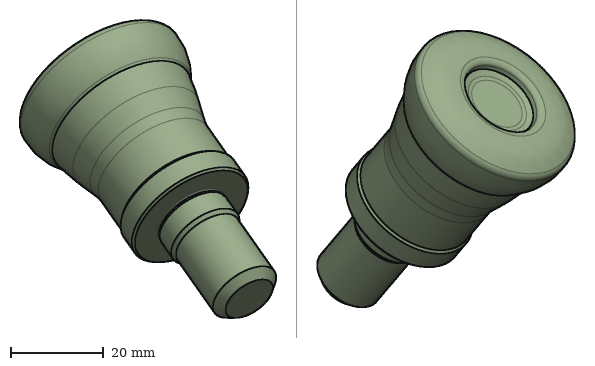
import cadquery as cq
import math

AXIS_START = (0, 0)
AXIS_END = (1, 0)

cap_radius = 19.95
crown_peak_x = 4.6
crown_arc_radius = 13.3
crown_start_x = 3.7
crown_end_x = 12.1
cap_back_x = 12.75
face_inner_radius = 10.6
dome_middle = (0.84, 16.7)
dome_rim = (2.2, 19.05)
dome_rim_direction = (1, 1.7)
bore_mouth_radius = 9.0
spigot_radius = 8.7
bore_lip_depth = 1.0

dish_rim_x = 1.9
dish_cone_end_radius = 7.25
dish_floor_radius = 6.3
dish_slope = math.radians(20)

sleeve_radius = 28 / 2
flare_angle = math.radians(16.1)
flare_arc_radius = 52.0
flare_cone_start_x = 19.1
flare_cone_end_x = 24.05
neck_arc_radius = 10.3

collar_radius = 29 / 2
collar_start_x = 36.9
collar_end_x = 42.9
collar_front_chamfer_length = 0.6
collar_back_chamfer = 0.5

relief_radius = 16.6 / 2
relief_fillet = 0.15
relief_end_x = 43.4
shoulder_radius = 17 / 2
shoulder_start_x = 44.0
shoulder_end_x = 49.0
stem_radius = 15.75 / 2
stem_start_x = 50.0
stem_chamfer = 2.0
total_length = 67.98


def crown_radius_at(x):
    """Radius of the crown arc at the axial position x."""
    drop = crown_arc_radius - math.sqrt(crown_arc_radius**2 - (x - crown_peak_x) ** 2)
    return cap_radius - drop


def arc_point(center, radius, angle):
    """Point on a circle; the angle is measured from the outward radial direction towards +X."""
    return (center[0] + radius * math.sin(angle), center[1] + radius * math.cos(angle))


neck_end_x = flare_cone_end_x + neck_arc_radius * math.sin(flare_angle)
neck_center = (neck_end_x, sleeve_radius + neck_arc_radius)
flare_cone_end = arc_point(neck_center, -neck_arc_radius, flare_angle)
flare_cone_rise = (flare_cone_end_x - flare_cone_start_x) * math.tan(flare_angle)
flare_cone_start = (flare_cone_start_x, flare_cone_end[1] + flare_cone_rise)
flare_center = (
    flare_cone_start[0] - flare_arc_radius * math.sin(flare_angle),
    flare_cone_start[1] - flare_arc_radius * math.cos(flare_angle),
)
flare_start_angle = math.asin((cap_back_x - flare_center[0]) / flare_arc_radius)
flare_start = arc_point(flare_center, flare_arc_radius, flare_start_angle)


def make_cap():
    """Knob head with a domed face, a rounded rim and a tapered through bore with a rounded lip."""
    crown_start = (crown_start_x, crown_radius_at(crown_start_x))
    crown_end = (crown_end_x, crown_radius_at(crown_end_x))
    lip_width = face_inner_radius - bore_mouth_radius
    diagonal = math.sqrt(0.5)
    lip_middle = (
        bore_lip_depth * (1 - diagonal),
        face_inner_radius - lip_width * diagonal,
    )
    profile = (
        cq.Workplane("XY")
        .moveTo(cap_back_x, spigot_radius)
        .lineTo(dish_rim_x, spigot_radius)
        .lineTo(bore_lip_depth, bore_mouth_radius)
        .spline(
            [lip_middle, (0, face_inner_radius)],
            tangents=[(-1, 0), (0, 1)],
            includeCurrent=True,
        )
        .spline([dome_middle, dome_rim], tangents=[(0, 1), dome_rim_direction], includeCurrent=True)
        .tangentArcPoint(crown_start, relative=False)
        .threePointArc((crown_peak_x, cap_radius), crown_end)
        .tangentArcPoint(flare_start, relative=False)
        .close()
    )
    return profile.revolve(360, AXIS_START, AXIS_END)


def make_plunger_body():
    """Dished spigot, flared sleeve, collar and stem in one turned piece."""
    dish_cone_depth = (spigot_radius - dish_cone_end_radius) * math.tan(dish_slope)
    dish_cone_end_x = dish_rim_x + dish_cone_depth
    dish_fillet_radius = (dish_cone_end_radius - dish_floor_radius) / math.sin(dish_slope)
    dish_floor_x = dish_cone_end_x + dish_fillet_radius * (1 - math.cos(dish_slope))
    flare_middle = arc_point(flare_center, flare_arc_radius, (flare_start_angle + flare_angle) / 2)
    neck_middle = arc_point(neck_center, -neck_arc_radius, flare_angle / 2)
    profile = (
        cq.Workplane("XY")
        .moveTo(dish_floor_x, 0)
        .lineTo(dish_floor_x, dish_floor_radius)
        .tangentArcPoint((dish_cone_end_x, dish_cone_end_radius), relative=False)
        .lineTo(dish_rim_x, spigot_radius)
        .lineTo(cap_back_x, spigot_radius)
        .lineTo(*flare_start)
        .threePointArc(flare_middle, flare_cone_start)
        .lineTo(*flare_cone_end)
        .threePointArc(neck_middle, (neck_end_x, sleeve_radius))
        .lineTo(collar_start_x, sleeve_radius)
        .lineTo(collar_start_x + collar_front_chamfer_length, collar_radius)
        .lineTo(collar_end_x - collar_back_chamfer, collar_radius)
        .lineTo(collar_end_x, collar_radius - collar_back_chamfer)
        .lineTo(collar_end_x, relief_radius + relief_fillet)
        .tangentArcPoint((collar_end_x + relief_fillet, relief_radius), relative=False)
        .lineTo(relief_end_x, relief_radius)
        .lineTo(shoulder_start_x, shoulder_radius)
        .lineTo(shoulder_end_x, shoulder_radius)
        .lineTo(stem_start_x, stem_radius)
        .lineTo(total_length - stem_chamfer, stem_radius)
        .lineTo(total_length, stem_radius - stem_chamfer)
        .lineTo(total_length, 0)
        .close()
    )
    return profile.revolve(360, AXIS_START, AXIS_END)


cap = make_cap()
plunger_body = make_plunger_body()

result = cq.Compound.makeCompound([cap.val(), plunger_body.val()])